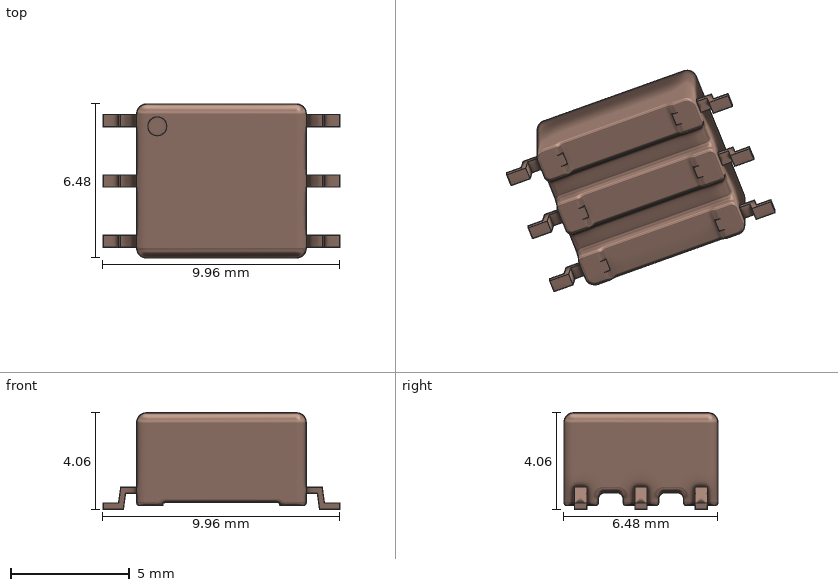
import cadquery as cq

TOTAL_X = 9.96
TOTAL_Z = 4.06
BODY_X = 7.14
BODY_Y = 6.48
CORNER_RADIUS = 0.42

STANDOFF = 0.15
RIM_RADIUS = 0.14

CHANNEL_HEIGHT = 0.14
CHANNEL_FLAT_X = 4.6
CHANNEL_END_RUN = 0.4
CHANNEL_TOP_Z = STANDOFF + CHANNEL_HEIGHT

PAD_INNER_X = 2.45
PAD_EDGE_RADIUS = 0.05

LEAD_PITCH = 2.54
LEAD_ROWS = 3
LEAD_WIDTH = 0.52
LEAD_THICKNESS = 0.27
LEAD_TOP_Z = 0.94
FOOT_LENGTH = 0.65
SHANK_WIDTH = 0.21
SHANK_LEAN = 0.09

TUNNEL_WIDTH = 1.04
TUNNEL_TOP_Z = 0.69
TUNNEL_CORNER_RADIUS = 0.25
TUNNEL_MOUTH_RADIUS = 0.25

MARK_DIAMETER = 0.8
MARK_DEPTH = 0.04
MARK_X = -2.7
MARK_Y = 2.3

MARGIN = 0.01

lead_places = [(row - (LEAD_ROWS - 1) / 2) * LEAD_PITCH for row in range(LEAD_ROWS)]
tunnel_places = [y + LEAD_PITCH / 2 for y in lead_places[:-1]]


def make_block():
    """Plain housing block with rounded upright and top edges."""
    return (
        cq.Workplane("XY", origin=(0, 0, STANDOFF))
        .box(BODY_X, BODY_Y, TOTAL_Z - STANDOFF, centered=(True, True, False))
        .edges("|Z or >Z")
        .fillet(CORNER_RADIUS)
    )


def cut_tunnel(body, y):
    """Cut one wire tunnel with rounded upper corners and rounded mouths."""
    tunnel = (
        cq.Workplane("XY", origin=(0, y, 0))
        .box(BODY_X, TUNNEL_WIDTH, TUNNEL_TOP_Z, centered=(True, True, False))
        .edges("|X and >Z")
        .fillet(TUNNEL_CORNER_RADIUS)
    )
    half_x = BODY_X / 2 + MARGIN
    half_y = TUNNEL_WIDTH / 2 + MARGIN
    around_mouths = cq.selectors.BoxSelector(
        (-half_x, y - half_y, STANDOFF + MARGIN),
        (half_x, y + half_y, TUNNEL_TOP_Z + MARGIN),
    )
    return (
        body.cut(tunnel)
        .faces("<X or >X")
        .edges(around_mouths)
        .fillet(TUNNEL_MOUTH_RADIUS)
    )


def make_channel():
    """Cutter for the channel; each end falls to the underside in two equal tangent arcs."""
    flat_end = CHANNEL_FLAT_X / 2
    half = (
        cq.Workplane("XZ")
        .moveTo(0, CHANNEL_TOP_Z)
        .lineTo(flat_end, CHANNEL_TOP_Z)
        .tangentArcPoint((CHANNEL_END_RUN / 2, -CHANNEL_HEIGHT / 2))
        .tangentArcPoint((CHANNEL_END_RUN / 2, -CHANNEL_HEIGHT / 2))
        .lineTo(0, STANDOFF)
        .close()
        .extrude(BODY_Y / 2, both=True)
    )
    return half.union(half.mirror("YZ"))


def round_rim(body):
    """Round every lower edge, around the underside and along the channel."""
    underside = cq.selectors.BoxSelector(
        (-BODY_X, -BODY_Y, STANDOFF - MARGIN),
        (BODY_X, BODY_Y, CHANNEL_TOP_Z + MARGIN),
        boundingbox=True,
    )
    return body.faces(underside).edges().fillet(RIM_RADIUS)


def make_pad(y):
    """Pad on the -X side of the channel, level with the underside."""
    length = CHANNEL_FLAT_X / 2 + CHANNEL_END_RUN - PAD_INNER_X
    return (
        cq.Workplane("XY", origin=(-PAD_INNER_X - length / 2, y, STANDOFF))
        .box(length, LEAD_WIDTH, CHANNEL_HEIGHT, centered=(True, True, False))
        .edges(">X and <Z")
        .fillet(PAD_EDGE_RADIUS)
    )


def make_lead(y):
    """Lead on the -X side, from its foot up to the housing wall."""
    foot_end = -TOTAL_X / 2
    heel = foot_end + FOOT_LENGTH
    wall = -BODY_X / 2
    arm_z = LEAD_TOP_Z - LEAD_THICKNESS
    outline = [
        (foot_end, 0),
        (heel + SHANK_WIDTH, 0),
        (heel + SHANK_WIDTH + SHANK_LEAN, arm_z),
        (wall, arm_z),
        (wall, LEAD_TOP_Z),
        (heel + SHANK_LEAN, LEAD_TOP_Z),
        (heel, LEAD_THICKNESS),
        (foot_end, LEAD_THICKNESS),
    ]
    return (
        cq.Workplane("XZ", origin=(0, y, 0))
        .polyline(outline)
        .close()
        .extrude(LEAD_WIDTH / 2, both=True)
    )


def make_mark():
    """Cutter for the round pin-1 mark."""
    return (
        cq.Workplane("XY", origin=(MARK_X, MARK_Y, TOTAL_Z))
        .circle(MARK_DIAMETER / 2)
        .extrude(-MARK_DEPTH)
    )


housing = make_block()
for tunnel_y in tunnel_places:
    housing = cut_tunnel(housing, tunnel_y)
housing = round_rim(housing.cut(make_channel()))
housing = housing.cut(make_mark())
for lead_y in lead_places:
    for piece in (make_pad(lead_y), make_lead(lead_y)):
        housing = housing.union(piece).union(piece.mirror("YZ"))

result = cq.Compound.makeCompound([housing.val()])